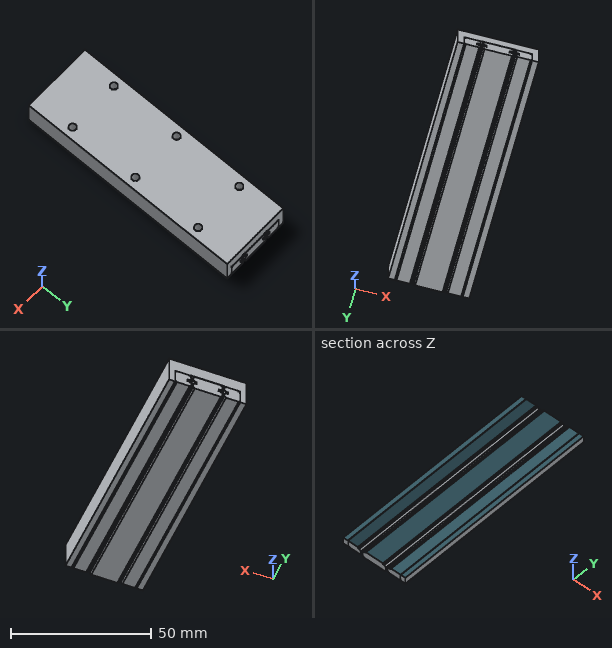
import cadquery as cq

LENGTH = 95.0
WIDTH = 30.0
HEIGHT = 12.0

RAIL_TOP_Z = 6.3
RAIL_CHAMFER = 0.62
CENTER_RAIL_DROP = 0.4
TABLE_CLEARANCE = 0.2
CENTER_RAIL_WIDTH = 11.3
RAIL_GAP = 0.8
SIDE_RAIL_OUTER_X = 12.5

V_DEPTH = 0.8
SLOT_HEIGHT = 0.7
SLOT_DEPTH = 1.4

HOLE_DIAMETER = 2.9
HOLE_SPACING_X = 22.0
HOLE_SPACING_Y = 30.0
HOLE_ROWS = 3

center_rail_flank_x = CENTER_RAIL_WIDTH / 2
side_rail_flank_x = center_rail_flank_x + RAIL_GAP
side_rail_width = SIDE_RAIL_OUTER_X - side_rail_flank_x
side_rail_center_x = side_rail_flank_x + side_rail_width / 2
table_bottom_z = CENTER_RAIL_DROP
side_rail_height = RAIL_TOP_Z - table_bottom_z
table_height = HEIGHT - table_bottom_z
groove_center_z = table_bottom_z + side_rail_height / 2


def box(width, height, center_x, bottom_z):
    """Full-length bar centered on Y = 0."""
    return (
        cq.Workplane("XY")
        .box(width, LENGTH, height, centered=(True, True, False))
        .translate((center_x, 0, bottom_z))
    )


def groove_cutter(flank_x, inward):
    """V-groove and relief slot cut into a flank; `inward` is the X sign pointing into the rail."""
    slot_half = SLOT_HEIGHT / 2
    mouth_half = slot_half + V_DEPTH
    v_root_x = flank_x + inward * V_DEPTH
    slot_floor_x = flank_x + inward * SLOT_DEPTH
    outline = [
        (flank_x, groove_center_z - mouth_half),
        (v_root_x, groove_center_z - slot_half),
        (slot_floor_x, groove_center_z - slot_half),
        (slot_floor_x, groove_center_z + slot_half),
        (v_root_x, groove_center_z + slot_half),
        (flank_x, groove_center_z + mouth_half),
    ]
    return cq.Workplane("XZ").polyline(outline).close().extrude(LENGTH / 2, both=True)


def make_table():
    """Upper table: an inverted channel with a shallow clearance recess above the center rail."""
    table = box(WIDTH, table_height, 0, table_bottom_z)
    table = table.cut(box(2 * SIDE_RAIL_OUTER_X, side_rail_height, 0, table_bottom_z))
    table = table.cut(box(2 * side_rail_flank_x, TABLE_CLEARANCE, 0, RAIL_TOP_Z))
    holes = (
        cq.Workplane("XY", origin=(0, 0, RAIL_TOP_Z))
        .rarray(HOLE_SPACING_X, HOLE_SPACING_Y, 2, HOLE_ROWS)
        .circle(HOLE_DIAMETER / 2)
        .extrude(HEIGHT - RAIL_TOP_Z)
    )
    return table.cut(holes)


def make_center_rail():
    """Center rail with a groove in both flanks."""
    rail = box(CENTER_RAIL_WIDTH, RAIL_TOP_Z, 0, 0).edges("|Y").chamfer(RAIL_CHAMFER)
    for side in (-1, 1):
        rail = rail.cut(groove_cutter(side * center_rail_flank_x, -side))
    return rail


def make_side_rail(side):
    """Side rail seated in the table's corner; `side` is the sign of its X position."""
    rail = box(side_rail_width, side_rail_height, side * side_rail_center_x, table_bottom_z)
    rail = rail.edges("|Y").chamfer(RAIL_CHAMFER)
    return rail.cut(groove_cutter(side * side_rail_flank_x, side))


table = make_table()
center_rail = make_center_rail()
side_rails = [make_side_rail(side) for side in (-1, 1)]

result = cq.Compound.makeCompound(
    [table.val(), center_rail.val(), *[rail.val() for rail in side_rails]]
)